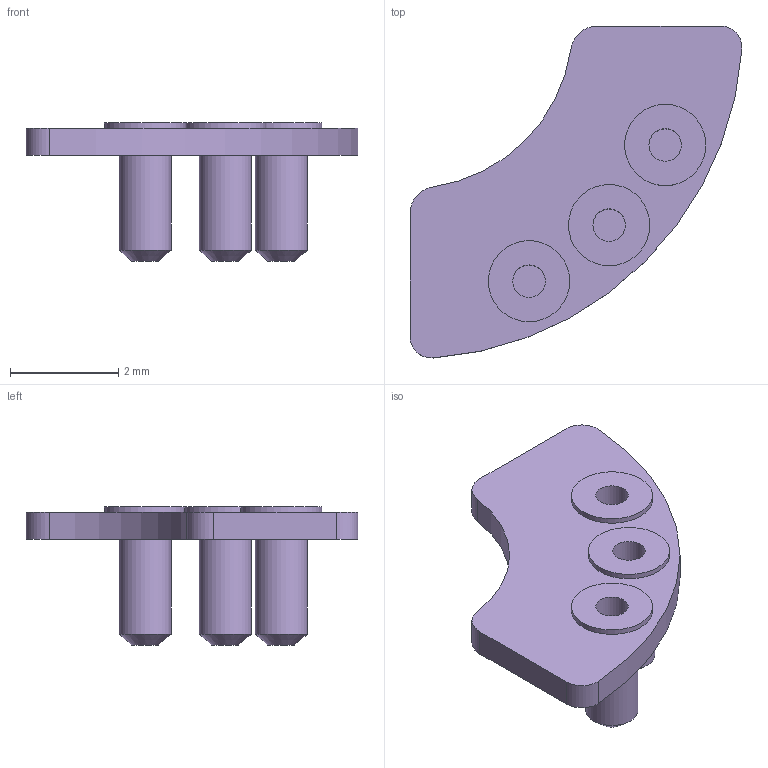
import cadquery as cq
import math

outer_radius = 6.145
inner_radius = 3.0
plate_thickness = 0.5
outer_corner_radius = 0.4
inner_corner_radius = 0.5

pin_circle_radius = 5.2
pin_middle_angle = -45.0
pin_spacing_angle = 20.0
pin_diameter = 0.96
pin_length = 1.95
tip_diameter = 0.5
tip_height = 0.2

flange_diameter = 1.5
flange_height = 0.1
bore_diameter = 0.6
bore_depth = flange_height + plate_thickness + pin_length - tip_height

flange_top = plate_thickness + flange_height


def make_plate():
    """Quarter-ring plate with its four upright corners rounded."""
    half_way = math.sqrt(0.5)
    plate = (
        cq.Workplane("XY")
        .moveTo(inner_radius, 0)
        .lineTo(outer_radius, 0)
        .threePointArc(
            (outer_radius * half_way, -outer_radius * half_way),
            (0, -outer_radius),
        )
        .lineTo(0, -inner_radius)
        .threePointArc(
            (inner_radius * half_way, -inner_radius * half_way),
            (inner_radius, 0),
        )
        .close()
        .extrude(plate_thickness)
    )
    corner_direction = "(1, -1, 0)"
    corners = plate.edges("|Z")
    inner_corners = corners.edges("<" + corner_direction)
    outer_corners = corners.edges(">" + corner_direction)
    plate = inner_corners.fillet(inner_corner_radius)
    return plate.newObject(outer_corners.vals()).fillet(outer_corner_radius)


def make_pin():
    """Solid pin on the Z axis: flange, shank through the plate and tapered tip."""
    pin_radius = pin_diameter / 2
    flange_radius = flange_diameter / 2
    return (
        cq.Workplane("XZ")
        .moveTo(0, -pin_length)
        .lineTo(tip_diameter / 2, -pin_length)
        .lineTo(pin_radius, tip_height - pin_length)
        .lineTo(pin_radius, plate_thickness)
        .lineTo(flange_radius, plate_thickness)
        .lineTo(flange_radius, flange_top)
        .lineTo(0, flange_top)
        .close()
        .revolve(360, (0, 0, 0), (0, 1, 0))
    )


def make_bore():
    """Blind bore on the Z axis, sunk from the top of the flange."""
    return (
        cq.Workplane("XY")
        .workplane(offset=flange_top - bore_depth)
        .circle(bore_diameter / 2)
        .extrude(bore_depth)
    )


def pin_position(step):
    """Centre of the pin that is this many spacings from the middle pin."""
    angle = math.radians(pin_middle_angle + step * pin_spacing_angle)
    return (pin_circle_radius * math.cos(angle), pin_circle_radius * math.sin(angle), 0)


result = make_plate()
for step in (-1, 0, 1):
    position = pin_position(step)
    result = result.union(make_pin().translate(position))
    result = result.cut(make_bore().translate(position))